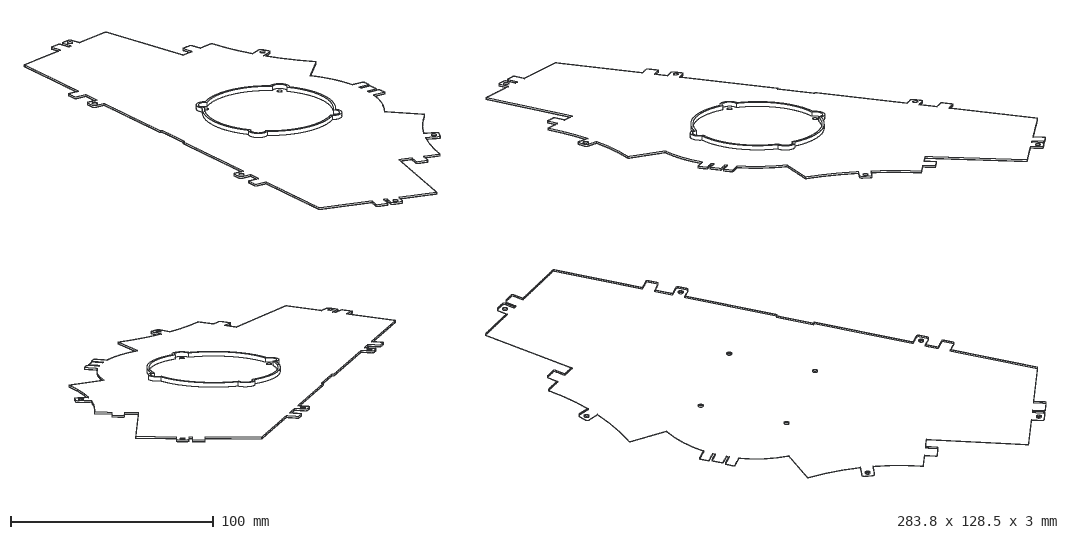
import cadquery as cq
import math

plate_thickness = 1.0
overall_height = 3.0

bottom_edge_y = -58.8
bottom_corner = (125.8, bottom_edge_y)
wing_tip = (141.0, 1.5)
step_inner_corner = (92.0, 13.3)
step_outer_corner = (97.5, 34.4)
shoulder_peak = (46.3, 61.3)
shoulder_sag = 4.0
valley = (31.8, 47.5)
crown_y = 57.5
relief_half_width = 9.7
relief_depth = 1.0

tab_width = 6.2
tab_length = 6.2
tab_root = 2.8
tab_hole_diameter = 2.5
tab_hole_offset = 3.5
plain_tab_radius = 0.5
holed_tab_radius = 1.0
side_holed_tab_distance = 39.0
side_plain_tab_distance = 31.0
step_tab_distance = 10.0
shoulder_tab_x = 71.5
shoulder_tab_y = 44.9
shoulder_tab_tilt = 25
bottom_plain_tab_xs = (-76.5, 77.2)
bottom_holed_tab_xs = (-60.8, 64.2)

crown_tab_top = 63.5
crown_middle_tab_top = 63.0
crown_tab_bottom = 54.0
crown_middle_half_width = 2.8
crown_gap = 1.5
crown_side_outer_x = 9.0

rim_outer_radius = 33.0
rim_wall = 1.0
lobe_outer_radius = 4.8
screw_hole_diameter = 2.5
screw_spacing = 44.5


def mirrored(point):
    return (-point[0], point[1])


def bowed_midpoint(start, end, sag):
    """Middle of an arc from start to end, bowed to the right of the travel direction."""
    dx = end[0] - start[0]
    dy = end[1] - start[1]
    chord = math.hypot(dx, dy)
    middle_x = (start[0] + end[0]) / 2
    middle_y = (start[1] + end[1]) / 2
    return (middle_x + sag * dy / chord, middle_y - sag * dx / chord)


def make_plate():
    right_bow = bowed_midpoint(shoulder_peak, step_outer_corner, shoulder_sag)
    relief_y = bottom_edge_y + relief_depth
    return (
        cq.Workplane("XY")
        .moveTo(*mirrored(valley))
        .threePointArc((0, crown_y), valley)
        .lineTo(*shoulder_peak)
        .threePointArc(right_bow, step_outer_corner)
        .lineTo(*step_inner_corner)
        .lineTo(*wing_tip)
        .lineTo(*bottom_corner)
        .lineTo(relief_half_width, bottom_edge_y)
        .lineTo(relief_half_width, relief_y)
        .lineTo(-relief_half_width, relief_y)
        .lineTo(-relief_half_width, bottom_edge_y)
        .lineTo(*mirrored(bottom_corner))
        .lineTo(*mirrored(wing_tip))
        .lineTo(*mirrored(step_inner_corner))
        .lineTo(*mirrored(step_outer_corner))
        .threePointArc(mirrored(right_bow), mirrored(shoulder_peak))
        .close()
        .extrude(plate_thickness)
    )


def make_tab(base, direction, holed):
    """Tab standing on the edge point base and pointing along direction (degrees from +X)."""
    tab = (
        cq.Workplane("XY")
        .box(tab_root + tab_length, tab_width, plate_thickness, centered=(False, True, False))
        .translate((-tab_root, 0, 0))
        .edges("|Z and >X")
        .fillet(holed_tab_radius if holed else plain_tab_radius)
    )
    if holed:
        hole = (
            cq.Workplane("XY")
            .center(tab_hole_offset, 0)
            .circle(tab_hole_diameter / 2)
            .extrude(plate_thickness)
        )
        tab = tab.cut(hole)
    return tab.rotate((0, 0, 0), (0, 0, 1), direction).translate((base[0], base[1], 0))


def make_edge_tab(start, end, distance, holed):
    """Tab on the straight right-hand edge from start up to end, at a distance from start."""
    along = math.atan2(end[1] - start[1], end[0] - start[0])
    base = (start[0] + distance * math.cos(along), start[1] + distance * math.sin(along))
    return make_tab(base, math.degrees(along) - 90, holed)


def make_crown_tab(left, right, top):
    return (
        cq.Workplane("XY")
        .box(right - left, top - crown_tab_bottom, plate_thickness, centered=False)
        .translate((left, crown_tab_bottom, 0))
    )


def make_rim_block(circle_radius, lobe_radius):
    """Disc with a lobe at each screw, as tall as the whole part."""
    disc = cq.Workplane("XY").circle(circle_radius).extrude(overall_height)
    lobes = (
        cq.Workplane("XY")
        .rect(screw_spacing, screw_spacing, forConstruction=True)
        .vertices()
        .circle(lobe_radius)
        .extrude(overall_height)
    )
    return disc.union(lobes)


result = make_plate()

right_tabs = [
    make_edge_tab(bottom_corner, wing_tip, side_holed_tab_distance, True),
    make_edge_tab(bottom_corner, wing_tip, side_plain_tab_distance, False),
    make_edge_tab(step_inner_corner, step_outer_corner, step_tab_distance, False),
    make_tab((shoulder_tab_x, shoulder_tab_y), 90 - shoulder_tab_tilt, True),
]
for tab in right_tabs:
    result = result.union(tab).union(tab.mirror("YZ"))

for x in bottom_plain_tab_xs:
    result = result.union(make_tab((x, bottom_edge_y), -90, False))
for x in bottom_holed_tab_xs:
    result = result.union(make_tab((x, bottom_edge_y), -90, True))

crown_side_inner_x = crown_middle_half_width + crown_gap
crown_side_tab = make_crown_tab(crown_side_inner_x, crown_side_outer_x, crown_tab_top)
crown_middle_tab = make_crown_tab(-crown_middle_half_width, crown_middle_half_width, crown_middle_tab_top)
result = result.union(crown_side_tab).union(crown_side_tab.mirror("YZ")).union(crown_middle_tab)

rim_outside = make_rim_block(rim_outer_radius, lobe_outer_radius)
rim_inside = make_rim_block(rim_outer_radius - rim_wall, lobe_outer_radius - rim_wall)
result = result.union(rim_outside.cut(rim_inside))

screw_holes = (
    cq.Workplane("XY")
    .rect(screw_spacing, screw_spacing, forConstruction=True)
    .vertices()
    .circle(screw_hole_diameter / 2)
    .extrude(plate_thickness)
)
result = result.cut(screw_holes)